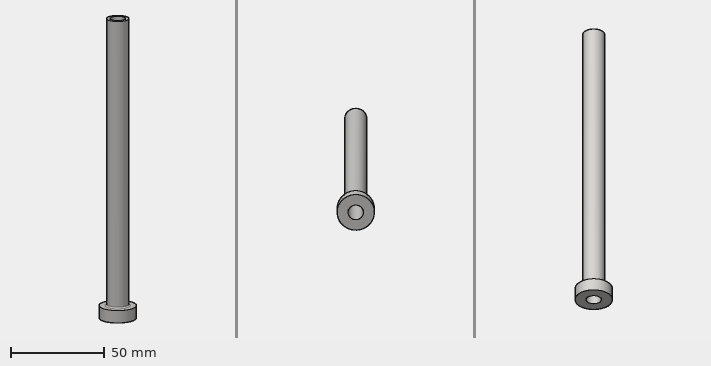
import cadquery as cq

total_length = 167.0
head_diameter = 20.0
head_height = 7.0
tube_diameter = 12.0
bore_diameter = 8.2
root_fillet = 0.75

head_radius = head_diameter / 2
tube_radius = tube_diameter / 2
bore_radius = bore_diameter / 2

half_section = (
    cq.Workplane("XZ")
    .moveTo(bore_radius, 0)
    .lineTo(head_radius, 0)
    .lineTo(head_radius, head_height)
    .lineTo(tube_radius + root_fillet, head_height)
    .radiusArc((tube_radius, head_height + root_fillet), root_fillet)
    .lineTo(tube_radius, total_length)
    .lineTo(bore_radius, total_length)
    .close()
)

result = half_section.revolve(360, (0, 0, 0), (0, 1, 0))